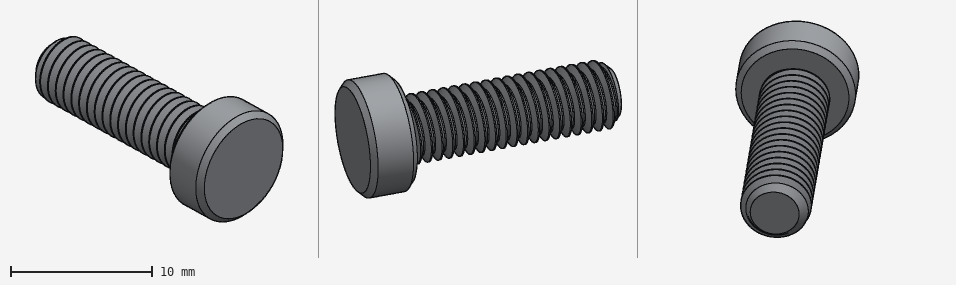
import cadquery as cq
import math

total_length = 19.5
head_diameter = 8.5
shank_length = 15.99
head_chamfer = 0.43

major_diameter = 5.0
root_diameter = 3.95
pitch = 0.8
crest_width = 0.1
half_flank_angle = math.radians(30)
first_crest = 1.05
tip_diameter = 3.47

tip_cone_length = 1.56
overrun_turns = 2

major_radius = major_diameter / 2
root_radius = root_diameter / 2
tip_radius = tip_diameter / 2


def make_head():
    """Cylindrical head with both rims chamfered."""
    return (
        cq.Workplane("YZ", origin=(shank_length, 0, 0))
        .circle(head_diameter / 2)
        .extrude(total_length - shank_length)
        .faces("<X or >X")
        .chamfer(head_chamfer)
    )


def make_shank_limits():
    """Space the shank may fill: flat ends and a 45 degree cone at the tip, clear of the crests."""
    return (
        cq.Workplane("YZ")
        .circle(tip_radius + tip_cone_length)
        .extrude(shank_length)
        .faces("<X")
        .chamfer(tip_cone_length)
    )


def helix_turn(radius, height):
    """One right-handed turn about Z that starts in the XZ half plane."""
    return cq.Wire.makeHelix(pitch, pitch, radius, center=cq.Vector(0, 0, height))


def axis_segment(height):
    """One pitch of the Z axis, the inner border of a helicoid end cap."""
    start = cq.Vector(0, 0, height)
    return cq.Wire.assembleEdges([cq.Edge.makeLine(start, start + cq.Vector(0, 0, pitch))])


def helicoid_cap(height):
    """Screw-shaped face that closes the core between the axis and the root helix."""
    return cq.Face.makeRuledSurface(axis_segment(height), helix_turn(root_radius, height))


def make_thread_rod():
    """Solid right-handed threaded rod along X, overrunning the shank at both ends."""
    flank_height = (major_radius - root_radius) * math.tan(half_flank_angle)
    profile = [
        (root_radius, 0),
        (root_radius, pitch - crest_width - 2 * flank_height),
        (major_radius, pitch - crest_width - flank_height),
        (major_radius, pitch - flank_height),
        (root_radius, pitch),
    ]
    crest_height = pitch - flank_height - crest_width / 2
    start = first_crest - overrun_turns * pitch - crest_height
    turns = math.ceil((shank_length - start) / pitch) + overrun_turns
    rod_height = turns * pitch

    faces = [helicoid_cap(0), helicoid_cap(rod_height)]
    for turn in range(turns):
        base = turn * pitch
        for (radius, height), (next_radius, next_height) in zip(profile, profile[1:]):
            lower = helix_turn(radius, base + height)
            upper = helix_turn(next_radius, base + next_height)
            faces.append(cq.Face.makeRuledSurface(lower, upper))
    for base in (0, rod_height):
        corners = [(0, 0)] + profile + [(0, pitch)]
        points = [cq.Vector(radius, 0, base + height) for radius, height in corners]
        faces.append(cq.Face.makeFromWires(cq.Wire.makePolygon(points, close=True)))
    rod = cq.Workplane(obj=cq.Solid.makeSolid(cq.Shell.makeShell(faces)))

    return (
        rod.rotate((0, 0, 0), (0, 0, 1), 180)
        .rotate((0, 0, 0), (0, 1, 0), 90)
        .translate((start, 0, 0))
    )


threaded_shank = make_thread_rod().intersect(make_shank_limits())
result = threaded_shank.union(make_head())